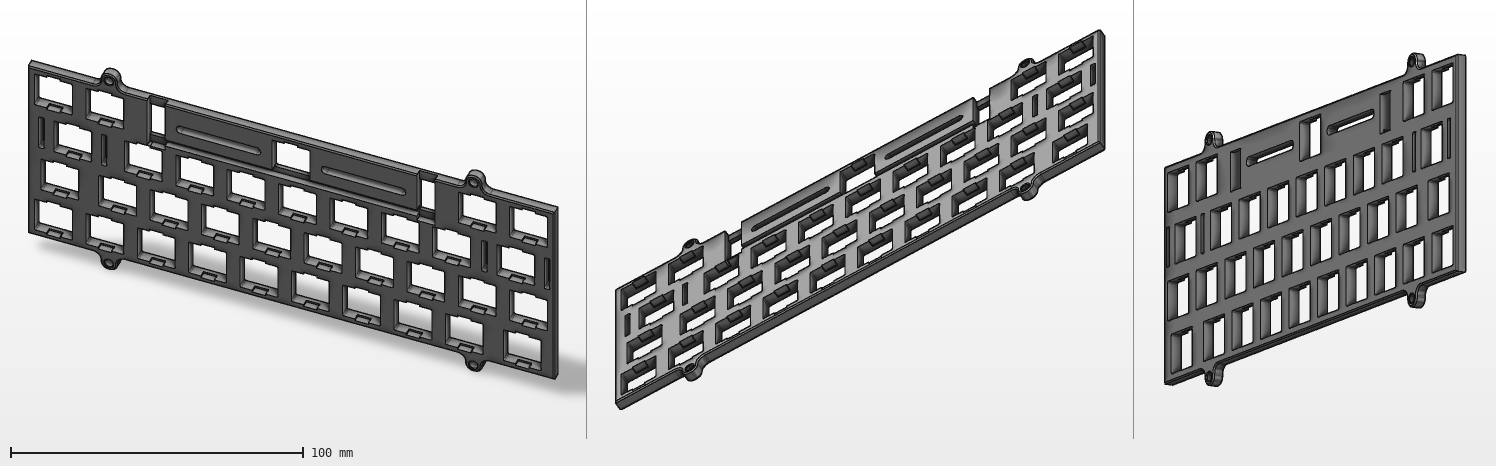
import cadquery as cq
import math


KEY_PITCH = 19.05
ROW_UNITS = 10.25
ROW_COUNT = 4
TOP_ROW = 0
SECOND_ROW = 1
SWITCH_SIZE = 14.0
SWITCH_CORNER_RADIUS = 0.5

PLATE_WIDTH = ROW_UNITS * KEY_PITCH
PLATE_HEIGHT = ROW_COUNT * KEY_PITCH
THICKNESS = 4.0
WEB_THICKNESS = 1.5
RECESS_DEPTH = THICKNESS - WEB_THICKNESS
FRONT_Y = -THICKNESS / 2
EDGE_CHAMFER = 0.5

MIDDLE_KEY = ROW_UNITS / 2
KEY_ROWS = [
    [0.5, 1.5, MIDDLE_KEY, 8.75, 9.75],
    [0.875] + [2.25 + i for i in range(7)] + [9.5],
    [0.625] + [1.75 + i for i in range(9)],
    [0.5 + i for i in range(9)] + [9.625],
]

CLIP_WIDTH = 5.0
CLIP_REACH = 0.7

SIDE_SLOT_KEYS = [0.875, 9.5]
SIDE_SLOT_OFFSET = 11.6
SIDE_SLOT_WIDTH = 2.0
SLOT_CORNER_RADIUS = 0.5

STABILIZER_OFFSET = 50.0
STABILIZER_WIDTH = 6.65
WINDOW_HEIGHT = 14.0
WINDOW_DROP = 1.2
CHANNEL_BOTTOM_DROP = 11.2
GROOVE_HEIGHT = 2.8
GROOVE_DROP = 7.9

LONG_SLOT_LENGTH = 31.3
LONG_SLOT_HEIGHT = 3.3
LONG_SLOT_OFFSET = 26.9

OVERALL_HEIGHT = 89.2
EAR_OFFSET = 67.6
EAR_HOLE_DIAMETER = 3.1
EAR_WALL = 1.5
EAR_RADIUS = EAR_HOLE_DIAMETER / 2 + EAR_WALL
EAR_BLEND_RADIUS = 3.0
EAR_HEIGHT = OVERALL_HEIGHT / 2 - EAR_RADIUS
HOLE_CHAMFER = 0.3


def key_x(units):
    """X of a point given in key units from the left edge."""
    return units * KEY_PITCH - PLATE_WIDTH / 2


def row_z(row):
    """Z of the centre line of a row, counted from the top."""
    return PLATE_HEIGHT / 2 - (row + 0.5) * KEY_PITCH


def front_sketch():
    """Workplane on the front face, with local x and y along X and Z."""
    return cq.Workplane("XZ", origin=(0, FRONT_Y, 0))


def box_from_front(x, z, width, height, depth):
    """Block that reaches back from the front face, centred on x and z."""
    return front_sketch().center(x, z).rect(width, height).extrude(-depth)


def ear_outline():
    """Ear at the top edge, centred on X = 0, overlapping into the plate."""
    edge = PLATE_HEIGHT / 2
    foot_x = EAR_RADIUS + EAR_BLEND_RADIUS
    blend_top = edge + EAR_BLEND_RADIUS
    arc_inset = EAR_BLEND_RADIUS * math.sqrt(0.5)
    arc_x = foot_x - arc_inset
    arc_z = blend_top - arc_inset
    return (
        front_sketch()
        .moveTo(foot_x, edge)
        .threePointArc((arc_x, arc_z), (EAR_RADIUS, blend_top))
        .lineTo(EAR_RADIUS, EAR_HEIGHT)
        .threePointArc((0, EAR_HEIGHT + EAR_RADIUS), (-EAR_RADIUS, EAR_HEIGHT))
        .lineTo(-EAR_RADIUS, blend_top)
        .threePointArc((-arc_x, arc_z), (-foot_x, edge))
        .lineTo(-foot_x, edge - EAR_RADIUS)
        .lineTo(foot_x, edge - EAR_RADIUS)
        .close()
    )


def make_blank():
    """Plate with its four drilled ears, chamfered along the outline and the holes."""
    blank = box_from_front(0, 0, PLATE_WIDTH, PLATE_HEIGHT, THICKNESS)
    top_ear = ear_outline().extrude(-THICKNESS)
    bottom_ear = top_ear.mirror("XY")
    for x in (-EAR_OFFSET, EAR_OFFSET):
        blank = blank.union(top_ear.translate((x, 0, 0)))
        blank = blank.union(bottom_ear.translate((x, 0, 0)))
    blank = blank.faces("<Y or >Y").chamfer(EDGE_CHAMFER).cut(ear_holes())
    hole_rims = cq.selectors.RadiusNthSelector(0)
    return blank.edges("%CIRCLE").edges(hole_rims).chamfer(HOLE_CHAMFER)


def ear_holes():
    centres = [(x, z) for x in (-EAR_OFFSET, EAR_OFFSET) for z in (-EAR_HEIGHT, EAR_HEIGHT)]
    return front_sketch().pushPoints(centres).circle(EAR_HOLE_DIAMETER / 2).extrude(-THICKNESS)


def switch_openings():
    """Square through openings, each with a clip recess above and below."""
    centres = [(key_x(u), row_z(row)) for row, keys in enumerate(KEY_ROWS) for u in keys]
    openings = front_sketch().pushPoints(centres).rect(SWITCH_SIZE, SWITCH_SIZE).extrude(-THICKNESS)
    openings = openings.edges("|Y").fillet(SWITCH_CORNER_RADIUS)
    clip_span = SWITCH_SIZE + 2 * CLIP_REACH
    clips = front_sketch().pushPoints(centres).rect(CLIP_WIDTH, clip_span).extrude(-RECESS_DEPTH)
    return openings.union(clips)


def side_slots():
    centres = [
        (key_x(u) + side * SIDE_SLOT_OFFSET, row_z(SECOND_ROW)) for u in SIDE_SLOT_KEYS for side in (-1, 1)
    ]
    slots = front_sketch().pushPoints(centres).rect(SIDE_SLOT_WIDTH, SWITCH_SIZE).extrude(-THICKNESS)
    return slots.edges("|Y").fillet(SLOT_CORNER_RADIUS)


def long_slots():
    centres = [(side * LONG_SLOT_OFFSET, row_z(TOP_ROW)) for side in (-1, 1)]
    return front_sketch().pushPoints(centres).slot2D(LONG_SLOT_LENGTH, LONG_SLOT_HEIGHT).extrude(-THICKNESS)


def stabilizer_cut():
    """Two recessed channels with through windows, joined by a wire groove."""
    z = row_z(TOP_ROW)
    channel_top = PLATE_HEIGHT / 2
    channel_bottom = z - CHANNEL_BOTTOM_DROP
    channel_height = channel_top - channel_bottom
    channel_z = (channel_top + channel_bottom) / 2
    cut = box_from_front(0, z - GROOVE_DROP, 2 * STABILIZER_OFFSET, GROOVE_HEIGHT, RECESS_DEPTH)
    for x in (-STABILIZER_OFFSET, STABILIZER_OFFSET):
        cut = cut.union(box_from_front(x, channel_z, STABILIZER_WIDTH, channel_height, RECESS_DEPTH))
        cut = cut.union(box_from_front(x, z - WINDOW_DROP, STABILIZER_WIDTH, WINDOW_HEIGHT, THICKNESS))
    return cut


result = (
    make_blank()
    .cut(switch_openings())
    .cut(side_slots())
    .cut(long_slots())
    .cut(stabilizer_cut())
)